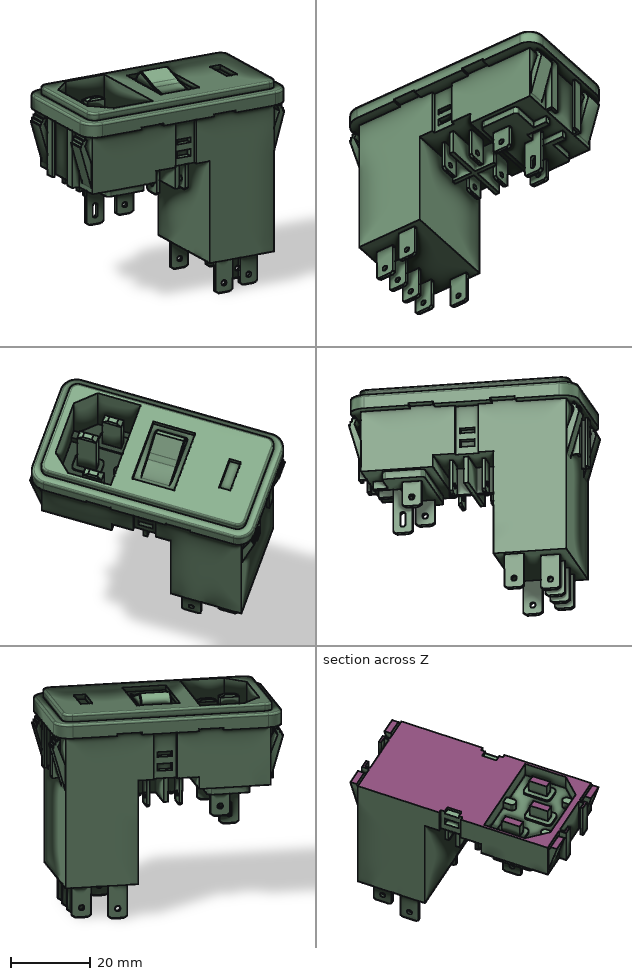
import cadquery as cq


FLANGE_WIDTH = 31.49
FLANGE_LENGTH = 58.76
FLANGE_TOP = 3.7
FLANGE_RADIUS = 4.2
COLLAR_WIDTH = 26.85
COLLAR_LENGTH = 54.1
COLLAR_TOP = 5.73
COLLAR_RADIUS = 2.25
RIM_FILLET = 0.55
NOTCH_HEIGHT = 0.58
NOTCH_LENGTH = 6.4
NOTCH_Y = 10.55

BODY_HALF_WIDTH = 13.02
BODY_HALF_LENGTH = 26.47
FUSE_FRONT_Y = 7.7
FUSE_BOTTOM = -39.85
SWITCH_BOTTOM = -12.72
INLET_BACK_Y = -7.93
INLET_BOTTOM = -15.82

RIB_INNER_X = 3.73
RIB_OUTER_X = 6.27
RIB_FACE_Y = 28.45
RIB_WALL = 0.72

CHANNEL_DEPTH = 0.95
CHANNEL_Y = (-2.25, 3.75)
WINDOW_DEPTH = 1.7
WINDOW_Y = (-1.2, 2.65)
WINDOW_Z = ((-7.13, -5.82), (-10.76, -8.9))

CLIP_INNER_X = 7.85
CLIP_OUTER_X = 12.47
CLIP_TIP_Y = 29.76
CLIP_STEPS_Z = (-0.73, -1.48, -2.3, -3.1)
CLIP_STEPS_Y = (28.3, 28.9, 29.35, CLIP_TIP_Y)
CLIP_STEP_DRAFT = 0.07
CLIP_FOOT_Z = -14.36
CLIP_INNER_FOOT_Z = -7.7
CLIP_KNEE = (28.3, -2.95)
CLIP_HOLLOW = (27.7, -1.55)

RECESS_FLOOR = COLLAR_TOP - 1.23
INDICATOR_WIDTH = 8.63
INDICATOR_LENGTH = 3.0
INDICATOR_Y = 19.2
OPENING_WIDTH = 17.35
OPENING_LENGTH = 11.13
OPENING_Y = 1.63

ROCKER_HALF_WIDTH = 7.24
ROCKER_LENGTH = 8.0
ROCKER_Y = 1.72
ROCKER_PEAK = (-4.6, 7.7)
ROCKER_ARC_MID = (-6.15, 6.5)
ROCKER_LOW_LEFT_Z = 4.4
ROCKER_BEND = (0.29, 6.0)
ROCKER_BEND_END = (1.93, 5.4)
ROCKER_LOW_RIGHT_Z = 4.47
ROCKER_FILLET = 0.25

SOCKET_HALF_WIDTH = 12.12
SOCKET_BACK_Y = -8.44
SOCKET_CORNER_Y = -19.75
SOCKET_FRONT_Y = -24.6
SOCKET_FRONT_HALF_WIDTH = 7.45
SOCKET_FLOOR = -10.3
KEY_WIDTH = 2.08
KEY_LENGTH = 3.05
KEY_HEIGHT = 2.0
SIDE_KEY_X = 6.36
PAD_WIDTH = 4.7
PAD_LENGTH = 7.5
PAD_RADIUS = 1.1
PAD_HEIGHT = 0.5

LINE_X = 8.0
LINE_Y = -14.37
GROUND_Y = -18.4
PIN_WIDTH = 2.1
PIN_LENGTH = 5.0
PIN_TIP_WIDTH = 1.4
PIN_TIP_LENGTH = 2.4
PIN_TIP_HEIGHT = 0.55
LINE_PIN_TOP = 1.75
GROUND_PIN_TOP = 4.9

PLINTH_BOTTOM = INLET_BOTTOM - 2.03
PLINTH_HALF_WIDTH = 11.77
PLINTH_BACK_Y = -10.4
PLINTH_FRONT_Y = -21.4
PLINTH_RADIUS = 0.95
PLINTH_LEG_X = (2.83, 4.27)
PLINTH_LEG_FRONT_Y = -25.25

BARRIER_THICKNESS = 1.15
BARRIER_WIDTH = 19.9
BARRIER_LENGTH = 12.8
BARRIER_BOTTOM = -19.6
BARRIER_FILLET = 0.2

TAB_WIDTH = 4.95
THICK_TAB = 0.98
THIN_TAB = 0.83
TAB_EMBED = 1.0
TAB_CORNER_WIDTH = 1.1
TAB_CORNER_HEIGHT = 0.8
TAB_BEVEL_HEIGHT = 0.35
TAB_TIP_THICKNESS = 0.2
TAB_HOLE_DIAMETER = 1.4
TAB_HOLE_RISE = 2.7
GROUND_SLOT_LENGTH = 3.9
GROUND_SLOT_RISE = 3.9
LINE_TAB_BOTTOM = -24.6
GROUND_TAB_BOTTOM = -28.95
SWITCH_TAB_BOTTOM = -21.47
FUSE_TAB_BOTTOM = -49.01
SWITCH_TAB_X = 5.27
SWITCH_TAB_Y = (4.05, -4.3)
FUSE_FRONT_TABS_Y = 12.7
FUSE_BACK_TABS_Y = 21.47
FUSE_FRONT_TAB_X = 11.18
FUSE_BACK_TAB_X = 8.35
FUSE_INNER_TAB_X = 2.82


def box(x_range, y_range, z_range):
    """Axis-aligned block spanning the three ranges."""
    size = [high - low for low, high in (x_range, y_range, z_range)]
    corner = (x_range[0], y_range[0], z_range[0])
    return cq.Workplane("XY").box(*size, centered=False).translate(corner)


def rounded_plate(width, length, radius, bottom, top):
    """Upright block centred on Z with rounded vertical edges."""
    plate = cq.Workplane("XY").workplane(offset=bottom).rect(width, length).extrude(top - bottom)
    return plate.edges("|Z").fillet(radius)


def mirrored_in_x(shape):
    return shape.union(shape.mirror("YZ"))


def mirrored_in_y(shape):
    return shape.union(shape.mirror("XZ"))


def make_flange():
    flange = rounded_plate(FLANGE_WIDTH, FLANGE_LENGTH, FLANGE_RADIUS, 0, FLANGE_TOP)
    flange = flange.faces(">Z").edges().fillet(RIM_FILLET)
    collar = rounded_plate(COLLAR_WIDTH, COLLAR_LENGTH, COLLAR_RADIUS, NOTCH_HEIGHT, COLLAR_TOP)
    collar = collar.faces(">Z").edges().fillet(RIM_FILLET)
    notch = box(
        (BODY_HALF_WIDTH, FLANGE_WIDTH),
        (NOTCH_Y - NOTCH_LENGTH / 2, NOTCH_Y + NOTCH_LENGTH / 2),
        (0, NOTCH_HEIGHT),
    )
    return flange.cut(mirrored_in_y(mirrored_in_x(notch))).union(collar)


def make_body():
    """Stepped housing: deep fuse block, shallow switch part and inlet block."""
    outline = [
        (BODY_HALF_LENGTH, NOTCH_HEIGHT),
        (BODY_HALF_LENGTH, FUSE_BOTTOM),
        (FUSE_FRONT_Y, FUSE_BOTTOM),
        (FUSE_FRONT_Y, SWITCH_BOTTOM),
        (INLET_BACK_Y, SWITCH_BOTTOM),
        (INLET_BACK_Y, INLET_BOTTOM),
        (-BODY_HALF_LENGTH, INLET_BOTTOM),
        (-BODY_HALF_LENGTH, NOTCH_HEIGHT),
    ]
    profile = cq.Workplane("YZ").polyline(outline).close()
    return profile.extrude(BODY_HALF_WIDTH, both=True)


def make_side_channels():
    """Channel with two windows in each long side, as a cutting shape."""
    floor_x = BODY_HALF_WIDTH - CHANNEL_DEPTH
    channel = box((floor_x, BODY_HALF_WIDTH), CHANNEL_Y, (SWITCH_BOTTOM, 0))
    for z_range in WINDOW_Z:
        channel = channel.union(box((floor_x - WINDOW_DEPTH, BODY_HALF_WIDTH), WINDOW_Y, z_range))
    return mirrored_in_x(channel)


def make_end_ribs(bottom):
    """Two hooked ribs on the +Y end, their lips pointing toward each other."""
    lip = box((RIB_INNER_X, RIB_OUTER_X), (RIB_FACE_Y - RIB_WALL, RIB_FACE_Y), (bottom, 0))
    leg = box((RIB_OUTER_X - RIB_WALL, RIB_OUTER_X), (BODY_HALF_LENGTH, RIB_FACE_Y), (bottom, 0))
    return mirrored_in_x(lip.union(leg))


def make_clips():
    """Stepped snap-in clips, two on each end."""
    outline = [(CLIP_STEPS_Y[0], CLIP_STEPS_Z[0])]
    for index in range(1, len(CLIP_STEPS_Z)):
        ledge_z = CLIP_STEPS_Z[index]
        outline.append((CLIP_STEPS_Y[index - 1] + CLIP_STEP_DRAFT, ledge_z))
        outline.append((CLIP_STEPS_Y[index], ledge_z))
    outline += [
        (BODY_HALF_LENGTH, CLIP_FOOT_Z),
        (BODY_HALF_LENGTH, CLIP_INNER_FOOT_Z),
        CLIP_KNEE,
        CLIP_HOLLOW,
    ]
    profile = cq.Workplane("YZ").workplane(offset=CLIP_INNER_X).polyline(outline).close()
    clip = profile.extrude(CLIP_OUTER_X - CLIP_INNER_X)
    return mirrored_in_y(mirrored_in_x(clip))


def make_top_recesses():
    """Indicator recess and switch opening, as a cutting shape."""
    floor = cq.Workplane("XY").workplane(offset=RECESS_FLOOR)
    depth = COLLAR_TOP - RECESS_FLOOR
    indicator = floor.center(0, INDICATOR_Y).rect(INDICATOR_WIDTH, INDICATOR_LENGTH).extrude(depth)
    opening = floor.center(0, OPENING_Y).rect(OPENING_WIDTH, OPENING_LENGTH).extrude(depth)
    return indicator.union(opening)


def make_rocker():
    """Rocker tilted to one side, with a rounded raised end and a bent top."""
    base_z = FLANGE_TOP
    rocker = (
        cq.Workplane("XZ", origin=(0, ROCKER_Y, 0))
        .moveTo(-ROCKER_HALF_WIDTH, base_z)
        .lineTo(-ROCKER_HALF_WIDTH, ROCKER_LOW_LEFT_Z)
        .threePointArc(ROCKER_ARC_MID, ROCKER_PEAK)
        .lineTo(*ROCKER_BEND)
        .lineTo(*ROCKER_BEND_END)
        .lineTo(ROCKER_HALF_WIDTH, ROCKER_LOW_RIGHT_Z)
        .lineTo(ROCKER_HALF_WIDTH, base_z)
        .close()
        .extrude(ROCKER_LENGTH / 2, both=True)
    )
    return rocker.faces("<Y or >Y").edges("not(<Z or |Z)").chamfer(ROCKER_FILLET)


def make_socket_cavity():
    outline = [
        (-SOCKET_HALF_WIDTH, SOCKET_BACK_Y),
        (SOCKET_HALF_WIDTH, SOCKET_BACK_Y),
        (SOCKET_HALF_WIDTH, SOCKET_CORNER_Y),
        (SOCKET_FRONT_HALF_WIDTH, SOCKET_FRONT_Y),
        (-SOCKET_FRONT_HALF_WIDTH, SOCKET_FRONT_Y),
        (-SOCKET_HALF_WIDTH, SOCKET_CORNER_Y),
    ]
    floor = cq.Workplane("XY").workplane(offset=SOCKET_FLOOR)
    return floor.polyline(outline).close().extrude(COLLAR_TOP - SOCKET_FLOOR)


def make_socket_key(x, wall_y, direction):
    """Round-ended key on the socket floor, growing from a wall along +Y or -Y."""
    radius = KEY_WIDTH / 2
    straight_end = wall_y + direction * (KEY_LENGTH - radius)
    return (
        cq.Workplane("XY", origin=(0, 0, SOCKET_FLOOR))
        .moveTo(x - radius, wall_y)
        .lineTo(x - radius, straight_end)
        .threePointArc((x, wall_y + direction * KEY_LENGTH), (x + radius, straight_end))
        .lineTo(x + radius, wall_y)
        .close()
        .extrude(KEY_HEIGHT)
    )


def make_socket_pin(x, y, top):
    """Blade with a tapered tip, standing on a rounded pad."""
    pad = rounded_plate(PAD_WIDTH, PAD_LENGTH, PAD_RADIUS, SOCKET_FLOOR, SOCKET_FLOOR + PAD_HEIGHT)
    shoulder = top - PIN_TIP_HEIGHT
    blade = (
        cq.Workplane("XY")
        .workplane(offset=SOCKET_FLOOR)
        .rect(PIN_WIDTH, PIN_LENGTH)
        .extrude(shoulder - SOCKET_FLOOR)
    )
    tip = (
        cq.Workplane("XY")
        .workplane(offset=shoulder)
        .rect(PIN_WIDTH, PIN_LENGTH)
        .workplane(offset=PIN_TIP_HEIGHT)
        .rect(PIN_TIP_WIDTH, PIN_TIP_LENGTH)
        .loft()
    )
    return pad.union(blade).union(tip).translate((x, y, 0))


def make_plinth():
    """Rounded plate under the inlet with a ground notch and two legs reaching toward -Y."""
    z_range = (PLINTH_BOTTOM, INLET_BOTTOM)
    base = box((-PLINTH_HALF_WIDTH, PLINTH_HALF_WIDTH), (PLINTH_FRONT_Y, PLINTH_BACK_Y), z_range)
    base = base.edges("|Z").fillet(PLINTH_RADIUS)
    leg = box(PLINTH_LEG_X, (PLINTH_LEG_FRONT_Y, PLINTH_FRONT_Y), z_range)
    leg_inner_x = PLINTH_LEG_X[0]
    notch = box((-leg_inner_x, leg_inner_x), (PLINTH_FRONT_Y, GROUND_Y), z_range)
    return base.union(mirrored_in_x(leg)).cut(notch)


def make_barrier():
    """Two crossing upright plates with small fillets in the inner corners."""
    half = BARRIER_THICKNESS / 2
    z_range = (BARRIER_BOTTOM, SWITCH_BOTTOM)
    across = box((-BARRIER_WIDTH / 2, BARRIER_WIDTH / 2), (-half, half), z_range)
    along = box((-half, half), (-BARRIER_LENGTH / 2, BARRIER_LENGTH / 2), z_range)
    cross = across.union(along)
    inner_edges = cq.selectors.BoxSelector(
        (-BARRIER_THICKNESS, -BARRIER_THICKNESS, BARRIER_BOTTOM),
        (BARRIER_THICKNESS, BARRIER_THICKNESS, SWITCH_BOTTOM),
    )
    return cross.edges("|Z").edges(inner_edges).fillet(BARRIER_FILLET)


def make_tab(seat_z, bottom_z, thickness, slotted=False):
    """Solder tab, thin along X and wide along Y, hanging from a seat face."""
    top = seat_z + TAB_EMBED
    half_width = TAB_WIDTH / 2
    corner_z = bottom_z + TAB_CORNER_HEIGHT
    tip_half_width = half_width - TAB_CORNER_WIDTH
    face_outline = [
        (-half_width, top),
        (-half_width, corner_z),
        (-tip_half_width, bottom_z),
        (tip_half_width, bottom_z),
        (half_width, corner_z),
        (half_width, top),
    ]
    tab = cq.Workplane("YZ").polyline(face_outline).close().extrude(thickness / 2, both=True)
    bevel_z = bottom_z + TAB_BEVEL_HEIGHT
    edge_outline = [
        (-thickness / 2, top),
        (-thickness / 2, bevel_z),
        (-TAB_TIP_THICKNESS / 2, bottom_z),
        (TAB_TIP_THICKNESS / 2, bottom_z),
        (thickness / 2, bevel_z),
        (thickness / 2, top),
    ]
    tab = tab.intersect(cq.Workplane("XZ").polyline(edge_outline).close().extrude(half_width, both=True))
    if slotted:
        opening = cq.Workplane("YZ").center(0, bottom_z + GROUND_SLOT_RISE)
        opening = opening.slot2D(GROUND_SLOT_LENGTH, TAB_HOLE_DIAMETER, 90)
    else:
        opening = cq.Workplane("YZ").center(0, bottom_z + TAB_HOLE_RISE).circle(TAB_HOLE_DIAMETER / 2)
    return tab.cut(opening.extrude(thickness, both=True))


def make_tabs():
    """All solder tabs: inlet, switch and fuse groups."""
    tabs = []
    line_tab = make_tab(PLINTH_BOTTOM, LINE_TAB_BOTTOM, THICK_TAB)
    switch_tab = make_tab(SWITCH_BOTTOM, SWITCH_TAB_BOTTOM, THIN_TAB)
    switch_tab = switch_tab.rotate((0, 0, 0), (0, 0, 1), 90)
    thick_fuse_tab = make_tab(FUSE_BOTTOM, FUSE_TAB_BOTTOM, THICK_TAB)
    thin_fuse_tab = make_tab(FUSE_BOTTOM, FUSE_TAB_BOTTOM, THIN_TAB)
    for side in (-1, 1):
        tabs.append(line_tab.translate((side * LINE_X, LINE_Y, 0)))
        for y in SWITCH_TAB_Y:
            tabs.append(switch_tab.translate((side * SWITCH_TAB_X, y, 0)))
        tabs.append(thin_fuse_tab.translate((side * FUSE_FRONT_TAB_X, FUSE_FRONT_TABS_Y, 0)))
        tabs.append(thick_fuse_tab.translate((side * FUSE_BACK_TAB_X, FUSE_BACK_TABS_Y, 0)))
        tabs.append(thin_fuse_tab.translate((side * FUSE_INNER_TAB_X, FUSE_BACK_TABS_Y, 0)))
    ground_tab = make_tab(INLET_BOTTOM, GROUND_TAB_BOTTOM, THICK_TAB, slotted=True)
    tabs.append(ground_tab.translate((0, GROUND_Y, 0)))
    return tabs


module = make_flange().union(make_body())
module = module.cut(make_side_channels())
module = module.cut(make_top_recesses())
module = module.cut(make_socket_cavity())

module = module.union(make_end_ribs(SWITCH_BOTTOM))
module = module.union(make_end_ribs(INLET_BOTTOM).mirror("XZ"))
module = module.union(make_clips())

module = module.union(make_rocker())
module = module.union(make_barrier())

module = module.union(make_plinth())
module = module.union(make_socket_key(0, SOCKET_BACK_Y, -1))
for side in (-1, 1):
    module = module.union(make_socket_key(side * SIDE_KEY_X, SOCKET_FRONT_Y, 1))
    module = module.union(make_socket_pin(side * LINE_X, LINE_Y, LINE_PIN_TOP))
module = module.union(make_socket_pin(0, GROUND_Y, GROUND_PIN_TOP))

for solder_tab in make_tabs():
    module = module.union(solder_tab)

result = module